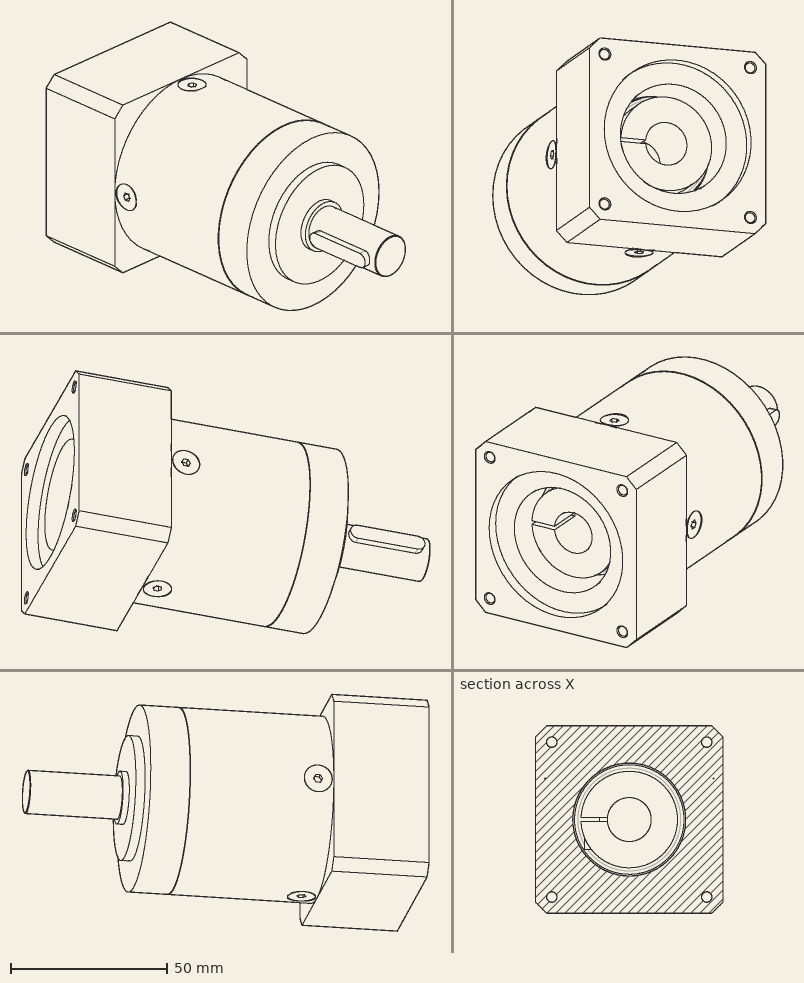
import cadquery as cq
import math

flange_size = 60.0
total_length = 125.5

flange_length = 31.0
flange_corner_cut = 3.6
pilot_diameter = 50.0
pilot_depth = 4.0
mount_hole_diameter = 3.3
mount_hole_mouth = 4.0
mount_hole_depth = 10.0
mount_circle_diameter = 70.0

well_diameter = 36.0
well_floor_x = 18.0
hub_diameter = 35.0
hub_tip_diameter = 32.9
hub_gap_depth = 2.5
collar_diameter = 30.9
collar_face_x = 10.7
collar_bore_diameter = 14.0
collar_bore_depth = 25.1
slit_width = 1.3
slit_step_diameter = 19.0
slit_inner_depth = 12.5
screw_head_diameter = 7.0
screw_head_height = 4.0
screw_head_y = 10.8
screw_head_bottom_z = -9.5

housing_diameter = flange_size
joint_groove_diameter = 59.6
joint_groove_width = 0.1
housing_end_x = 77.7
ring_end_x = 90.5
spigot_diameter = 40.0
spigot_end_x = 93.5
shoulder_diameter = 17.0
shoulder_end_x = 95.5

shaft_diameter = 13.9
shaft_chamfer = 0.3
key_width = 5.0
key_length = 25.0
key_start_x = 98.0
key_top_radius = 9.0

plug_x = 36.0
plug_diameter = 9.0
plug_face_radius = 29.6
socket_diameter = 2.9
socket_depth = 2.0
socket_sides = 6
plug_count = 4


def disc(diameter, start_x, end_x):
    """Cylinder on the X axis."""
    return cq.Workplane("YZ", origin=(start_x, 0, 0)).circle(diameter / 2).extrude(end_x - start_x)


def make_flange():
    return (
        cq.Workplane("YZ")
        .rect(flange_size, flange_size)
        .extrude(flange_length)
        .edges("|X")
        .chamfer(flange_corner_cut)
    )


def make_output_side():
    """Housing, joint groove, ring, spigot, shoulder and shaft, each starting where the last one ends."""
    housing = disc(housing_diameter, flange_length, housing_end_x - joint_groove_width)
    joint_groove = disc(joint_groove_diameter, housing_end_x - joint_groove_width, housing_end_x)
    ring = disc(housing_diameter, housing_end_x, ring_end_x)
    spigot = disc(spigot_diameter, ring_end_x, spigot_end_x)
    shoulder = disc(shoulder_diameter, spigot_end_x, shoulder_end_x)
    shaft = disc(shaft_diameter, shoulder_end_x, total_length).faces(">X").chamfer(shaft_chamfer)
    return housing.union(joint_groove).union(ring).union(spigot).union(shoulder).union(shaft)


def make_key():
    """Round-ended key standing out of the shaft on the -Y side."""
    return (
        cq.Workplane("XZ")
        .center(key_start_x + key_length / 2, 0)
        .slot2D(key_length, key_width)
        .extrude(key_top_radius)
    )


def slit(outer_diameter, depth):
    """Radial slot from the axis towards +Y, starting at the collar face."""
    return (
        cq.Workplane("XY", origin=(collar_face_x, 0, 0))
        .box(depth, outer_diameter / 2, slit_width, centered=(False, False, True))
    )


def make_screw_head():
    """Head of the clamp screw, half sunk in the collar and parallel to Z."""
    screw_x = (collar_face_x + well_floor_x) / 2
    return (
        cq.Workplane("XY", origin=(screw_x, screw_head_y, screw_head_bottom_z))
        .circle(screw_head_diameter / 2)
        .extrude(screw_head_height)
    )


def make_collar_recess():
    """Space in the flange around the clamping collar, with the collar's bore and slit."""
    well_bottom_x = well_floor_x + hub_gap_depth
    hub_rounding = (hub_diameter - hub_tip_diameter) / 2
    hub = disc(hub_diameter, well_floor_x, well_bottom_x).faces("<X").edges().fillet(hub_rounding)
    collar = disc(collar_diameter, collar_face_x, well_floor_x)
    well = disc(well_diameter, pilot_depth, well_bottom_x)
    well = well.cut(hub).cut(collar).cut(make_screw_head())

    pilot = disc(pilot_diameter, 0, pilot_depth)
    bore = disc(collar_bore_diameter, collar_face_x, collar_face_x + collar_bore_depth)
    outer_slit = slit(collar_diameter, well_floor_x - collar_face_x)
    inner_slit = slit(slit_step_diameter, slit_inner_depth)
    return pilot.union(well).union(bore).union(outer_slit).union(inner_slit)


def make_mount_holes():
    """Four countersunk screw holes on the diagonals of the flange face."""
    offset = mount_circle_diameter / 2 * math.sqrt(0.5)
    corners = [(y, z) for y in (-offset, offset) for z in (-offset, offset)]
    mouth_depth = (mount_hole_mouth - mount_hole_diameter) / 2
    sketch = cq.Workplane("YZ").pushPoints(corners)
    holes = sketch.circle(mount_hole_diameter / 2).extrude(mount_hole_depth)
    mouths = sketch.circle(mount_hole_mouth / 2).extrude(mouth_depth, taper=45)
    return holes.union(mouths)


def make_plug_cut():
    """Spot face on the +Z side of the housing with a hexagon socket in its centre."""
    spot_face = (
        cq.Workplane("XY", origin=(plug_x, 0, plug_face_radius))
        .circle(plug_diameter / 2)
        .extrude(housing_diameter / 2)
    )
    socket = (
        cq.Workplane("XY", origin=(plug_x, 0, plug_face_radius))
        .polygon(socket_sides, socket_diameter)
        .extrude(-socket_depth)
    )
    return spot_face.union(socket)


result = make_flange().union(make_output_side()).union(make_key())
result = result.cut(make_collar_recess()).cut(make_mount_holes())
for plug_index in range(plug_count):
    plug_angle = 360 / plug_count * plug_index
    result = result.cut(make_plug_cut().rotate((0, 0, 0), (1, 0, 0), plug_angle))